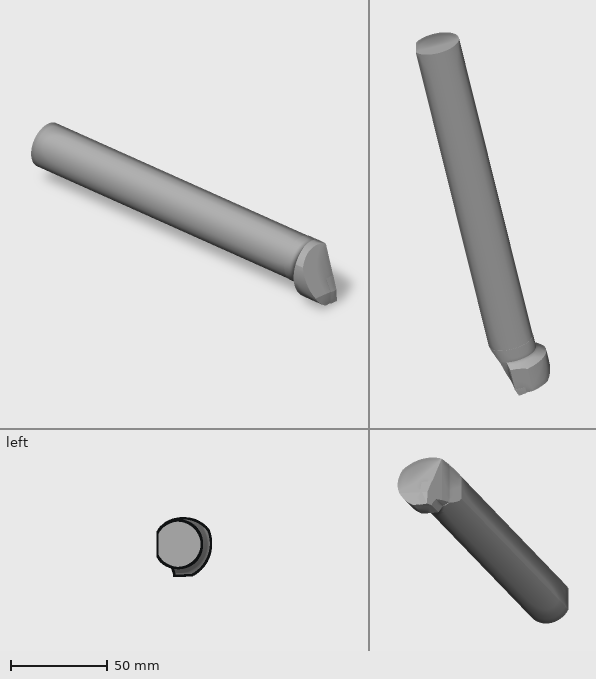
import cadquery as cq

overall_length = 200.0
shank_radius = 24.5 / 2
shank_length = 175.0
flat_y = 10.8

neck_radius = 25.0 / 2
neck_end = 182.0
flare_length = 8.0
flare_growth = 1.3
flare_end_radius = neck_radius + flare_growth * flare_length

head_top_y, head_top = -2.5, 13.5
head_bottom = -16.2
head_side, head_side_z = -17.2, -0.5
head_back_y = 7.2
head_back_low_z, head_back_high_z = -10.0, 10.5
step_y, step_z = 3.2, -12.0
underside_back_y, underside_front_y = 1.8, -7.2
shoulder_y, shoulder_z = -15.8, 7.5
nose_x = 199.5
nose_taper = 0.8
slope_top_x = 187.8
slope_bottom_z = -9.8
slope_rate = (slope_bottom_z - head_top) / (nose_x - slope_top_x)

relief_start_x = 173.8
relief_neck_y = 6.8
relief_face_x, relief_face_y = 188.5, 5.0
relief_tip_y = 0.5

insert_back_x = 196.2
insert_front_y = -3.5
insert_raise = 0.5
insert_overhang = 0.2
insert_bottom = -16.5
insert_tip_z = -16.5

margin = 20.0


def extrude_along_z(outline):
    """Prism of an XY outline, taller than the whole part."""
    return outline.extrude(2 * margin, both=True)


def make_back_relief():
    """Region removed from the +Y side, bounded by three slanting faces."""
    outline = (
        cq.Workplane("XY")
        .moveTo(relief_start_x, flat_y)
        .lineTo(neck_end, relief_neck_y)
        .lineTo(relief_face_x, relief_face_y)
        .lineTo(overall_length, relief_tip_y)
        .lineTo(overall_length + margin, relief_tip_y)
        .lineTo(overall_length + margin, margin)
        .lineTo(relief_start_x, margin)
        .close()
    )
    return extrude_along_z(outline)


def make_shank_and_neck():
    shank = cq.Workplane("YZ").circle(shank_radius).extrude(shank_length)
    neck = (
        cq.Workplane("YZ", origin=(shank_length, 0, 0))
        .circle(neck_radius)
        .extrude(neck_end - shank_length)
    )
    flat = cq.Workplane("XY").box(
        overall_length, margin, 2 * margin, centered=(False, False, True)
    ).translate((0, flat_y, 0))
    return shank.union(neck).cut(flat)


def make_flare():
    """Cone from the neck, continued as a cylinder to the end of the head."""
    return (
        cq.Workplane("XZ")
        .moveTo(neck_end, 0)
        .lineTo(neck_end, neck_radius)
        .lineTo(neck_end + flare_length, flare_end_radius)
        .lineTo(overall_length, flare_end_radius)
        .lineTo(overall_length, 0)
        .close()
        .revolve(360, (0, 0, 0), (1, 0, 0))
    )


def make_head_blank():
    """Lobed cross-section, offset towards -Y, with a flat underside."""
    return (
        cq.Workplane("YZ", origin=(neck_end, 0, 0))
        .moveTo(underside_back_y, head_bottom)
        .lineTo(step_y, step_z)
        .lineTo(head_back_y, head_back_low_z)
        .lineTo(head_back_y, head_back_high_z)
        .threePointArc((head_top_y, head_top), (shoulder_y, shoulder_z))
        .threePointArc((head_side, head_side_z), (underside_front_y, head_bottom))
        .close()
        .extrude(overall_length - neck_end)
    )


def make_slope_trim():
    """Region kept under the sloped face."""
    slope_bottom_x = slope_top_x + (-margin - head_top) / slope_rate
    slope_high_x = slope_top_x + (margin - head_top) / slope_rate
    return (
        cq.Workplane("XZ")
        .moveTo(neck_end, -margin)
        .lineTo(slope_bottom_x, -margin)
        .lineTo(slope_high_x, margin)
        .lineTo(neck_end, margin)
        .close()
        .extrude(2 * margin, both=True)
    )


def make_nose_trim():
    """Region kept behind the slightly slanted nose face."""
    outline = (
        cq.Workplane("XY")
        .moveTo(neck_end, margin)
        .lineTo(nose_x, margin)
        .lineTo(nose_x, 0)
        .lineTo(nose_x - nose_taper, -margin)
        .lineTo(neck_end, -margin)
        .close()
    )
    return extrude_along_z(outline)


def make_head():
    head = make_head_blank().intersect(make_flare())
    return head.intersect(make_slope_trim()).intersect(make_nose_trim())


def make_insert():
    back_top = head_top + slope_rate * (insert_back_x - slope_top_x) + insert_raise
    block = (
        cq.Workplane("XZ")
        .moveTo(insert_back_x, insert_bottom)
        .lineTo(overall_length, insert_tip_z)
        .lineTo(nose_x + insert_overhang, slope_bottom_z)
        .lineTo(insert_back_x, back_top)
        .close()
        .extrude(margin, both=True)
    )
    plan = (
        cq.Workplane("XY")
        .moveTo(insert_back_x, insert_front_y)
        .lineTo(nose_x, insert_front_y)
        .lineTo(overall_length, relief_tip_y)
        .lineTo(overall_length, margin)
        .lineTo(insert_back_x, margin)
        .close()
    )
    return block.intersect(extrude_along_z(plan)).cut(make_back_relief())


insert = make_insert()
holder = make_shank_and_neck().union(make_head()).cut(make_back_relief()).cut(insert)

result = cq.Compound.makeCompound([holder.val(), insert.val()])